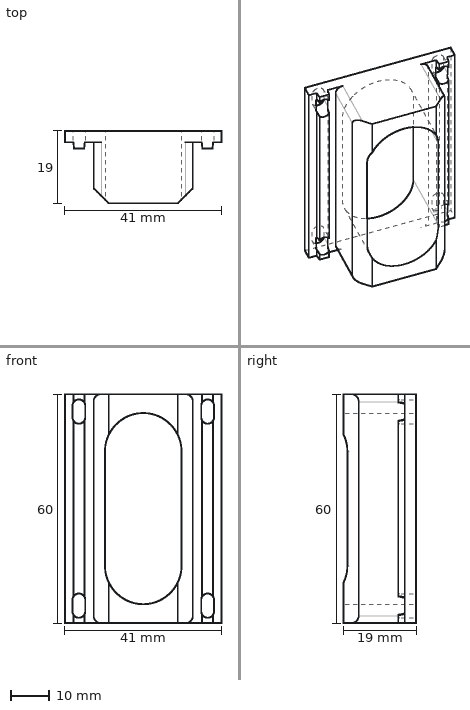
import cadquery as cq

plate_width = 41.04
plate_height = 60.0
plate_thickness = 3.0

block_depth = 19.0
block_width = 26.0
block_corner_radius = 2.0
block_chamfer = 4.0

opening_width = 20.0
opening_height = 50.0

rail_offset = 16.8
rail_base_width = 3.05
rail_tip_width = 2.7
rail_height = 1.65

slot_offset_x = 16.85
slot_offset_z = 25.4
slot_width = 3.3
slot_height = 6.3

VERTICAL = 90
SIDES = (-1, 1)


def back_plane():
    """XZ workplane on the back face; extrusions go towards -Y."""
    return cq.Workplane("XZ")


def make_plate():
    return back_plane().rect(plate_width, plate_height).extrude(plate_thickness)


def make_block():
    blank = back_plane().rect(block_width, plate_height).extrude(block_depth)
    chamfered = blank.faces("<Y").edges("|Z").chamfer(block_chamfer)
    rounded = blank.edges("|Y").fillet(block_corner_radius)
    return chamfered.intersect(rounded)


def make_rail(side):
    base_y = -plate_thickness
    tip_y = base_y - rail_height
    return (
        cq.Workplane("XY", origin=(side * rail_offset, 0, -plate_height / 2))
        .moveTo(-rail_base_width / 2, base_y)
        .lineTo(-rail_tip_width / 2, tip_y)
        .lineTo(rail_tip_width / 2, tip_y)
        .lineTo(rail_base_width / 2, base_y)
        .close()
        .extrude(plate_height)
    )


def make_opening():
    return back_plane().slot2D(opening_height, opening_width, VERTICAL).extrude(block_depth)


def make_fixing_slots():
    centers = [(sx * slot_offset_x, sz * slot_offset_z) for sx in SIDES for sz in SIDES]
    cut_depth = plate_thickness + rail_height
    return (
        back_plane()
        .pushPoints(centers)
        .slot2D(slot_height, slot_width, VERTICAL)
        .extrude(cut_depth)
    )


result = make_plate().union(make_block())
for side in SIDES:
    result = result.union(make_rail(side))
result = result.cut(make_opening()).cut(make_fixing_slots())